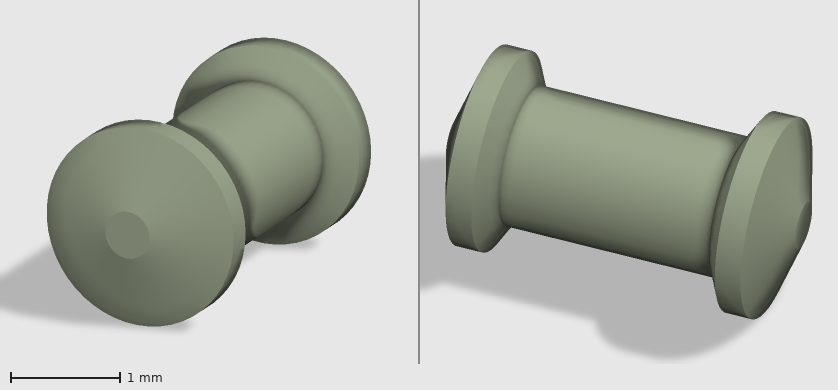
import cadquery as cq
import math

overall_length = 3.4
head_diameter = 1.9
shank_diameter = 1.33
end_face_diameter = 0.45
rim_width = 0.25
crown_angle = 20.0
shoulder_angle = 30.0

head_radius = head_diameter / 2
shank_radius = shank_diameter / 2
end_face_radius = end_face_diameter / 2

crown_height = (head_radius - end_face_radius) * math.tan(math.radians(crown_angle))
shoulder_height = (head_radius - shank_radius) * math.tan(math.radians(shoulder_angle))
end_y = overall_length / 2
rim_outer_y = end_y - crown_height
rim_inner_y = rim_outer_y - rim_width
shank_end_y = rim_inner_y - shoulder_height


def head_outline():
    """Points (radius, y) of the +Y head, from the end of the shank to the axis."""
    return [
        (shank_radius, shank_end_y),
        (head_radius, rim_inner_y),
        (head_radius, rim_outer_y),
        (end_face_radius, end_y),
        (0, end_y),
    ]


def make_pin():
    """Revolve the full profile; the -Y head is the +Y head mirrored about the middle."""
    upper_head = head_outline()
    lower_head = [(radius, -y) for radius, y in reversed(upper_head)]
    profile = cq.Workplane("XY").polyline(lower_head + upper_head).close()
    return profile.revolve(360, (0, 0, 0), (0, 1, 0))


result = make_pin()